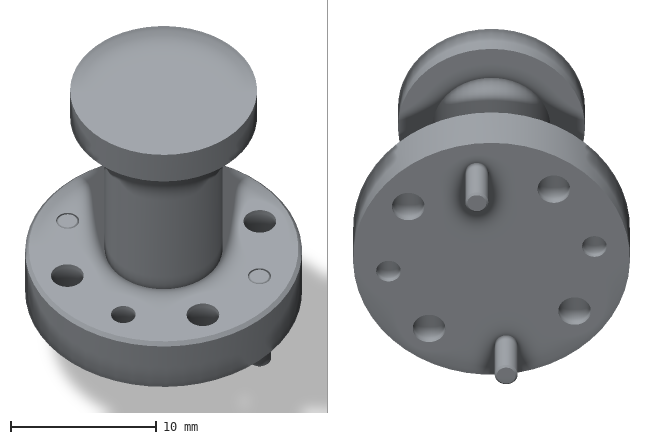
import cadquery as cq
import math

flange_diameter = 19.05
flange_thickness = 4.08
flange_chamfer = 0.25

total_height = 22.92
pin_protrusion = 3.85
neck_diameter = 8.11
disc_diameter = 12.85
disc_thickness = 2.52

pitch_radius = 7.15
screw_hole_diameter = 2.25
guide_hole_diameter = 1.7
pin_diameter = 1.58
pin_chamfer = 0.14
screw_angles = (0, 90, 180, 270)
guide_angles = (135, 315)
pin_angles = (45, 225)

flange_bottom = pin_protrusion
flange_top = flange_bottom + flange_thickness
disc_bottom = total_height - disc_thickness


def cylinder(diameter, bottom, top):
    """Upright cylinder on the Z axis."""
    return cq.Workplane("XY").workplane(offset=bottom).circle(diameter / 2).extrude(top - bottom)


def at_pitch_circle(shape, angle):
    """Move a shape from the Z axis to the pitch circle."""
    turn = math.radians(angle)
    return shape.translate((pitch_radius * math.cos(turn), pitch_radius * math.sin(turn), 0))


def make_housing():
    """Flange, neck and end disc, with the flange holes cut through."""
    flange = cylinder(flange_diameter, flange_bottom, flange_top).faces(">Z").chamfer(flange_chamfer)
    for diameter, angles in (
        (screw_hole_diameter, screw_angles),
        (guide_hole_diameter, guide_angles),
        (pin_diameter, pin_angles),
    ):
        hole = cylinder(diameter, flange_bottom, flange_top)
        for angle in angles:
            flange = flange.cut(at_pitch_circle(hole, angle))
    neck = cylinder(neck_diameter, flange_top, disc_bottom)
    disc = cylinder(disc_diameter, disc_bottom, total_height)
    return flange.union(neck).union(disc)


def make_pin(angle):
    """Dowel pin flush with the flange top, chamfered at both ends."""
    pin = cylinder(pin_diameter, 0, flange_top).faces("<Z or >Z").chamfer(pin_chamfer)
    return at_pitch_circle(pin, angle)


housing = make_housing()
pins = [make_pin(angle) for angle in pin_angles]

result = cq.Compound.makeCompound([housing.val(), *[pin.val() for pin in pins]])